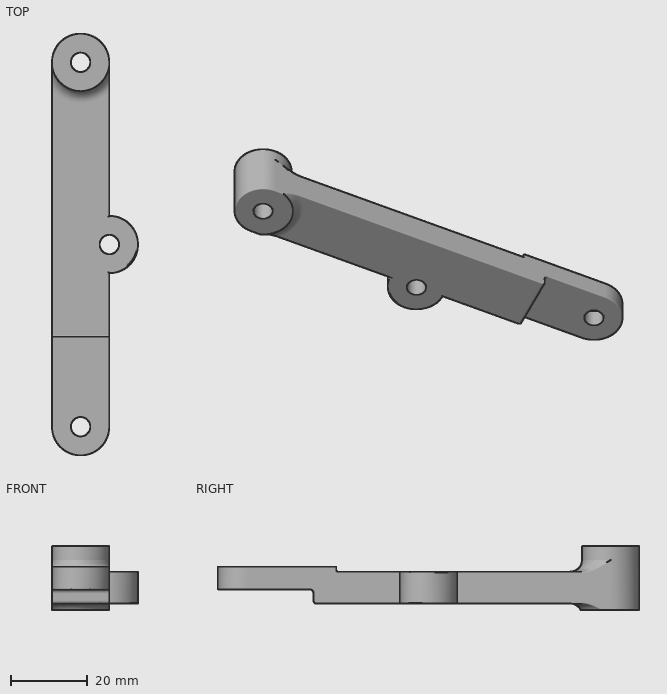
import cadquery as cq
import math

arm_width = 15.0
end_radius = arm_width / 2
arm_length = 95.0
ear_y = -arm_length / 2
ear_x = arm_width / 2
hole_diameter = 5.0

boss_height = 16.8
arm_bottom = 1.7
arm_thickness = 8.4
arm_top = arm_bottom + arm_thickness
tip_thickness = 6.0
tip_rise = 1.3
tip_top = arm_top + tip_rise
tip_bottom = tip_top - tip_thickness

tip_end_y = -arm_length - end_radius
tip_underside_length = 25.0
tip_top_length = 31.0
lower_step_y = tip_end_y + tip_underside_length
upper_step_y = tip_end_y + tip_top_length

boss_fillet = 3.0
lower_step_root_fillet = 1.0
lower_step_nose_fillet = 0.8
edge_fillet = 0.3


def round_end(axis_y, bulge, bottom, top):
    """Half cylinder closing the arm at axis_y; the sign of bulge gives the Y side it rounds."""
    return (
        cq.Workplane("XY", origin=(0, axis_y, bottom))
        .moveTo(end_radius, 0)
        .threePointArc((0, bulge), (-end_radius, 0))
        .close()
        .extrude(top - bottom)
    )


def round_step(profile, y, z, radius):
    """Fillet the one edge of the profile that runs along X at (y, z)."""
    return profile.edges(cq.selectors.NearestToPointSelector((0, y, z))).fillet(radius)


def make_arm():
    """Arm with its offset tip pad: a stepped side profile closed by a round end."""
    profile = (
        cq.Workplane("YZ", origin=(-end_radius, 0, 0))
        .moveTo(0, arm_bottom)
        .lineTo(lower_step_y, arm_bottom)
        .lineTo(lower_step_y, tip_bottom)
        .lineTo(-arm_length, tip_bottom)
        .lineTo(-arm_length, tip_top)
        .lineTo(upper_step_y, tip_top)
        .lineTo(upper_step_y, arm_top)
        .lineTo(0, arm_top)
        .close()
        .extrude(arm_width)
    )
    profile = round_step(profile, lower_step_y, tip_bottom, lower_step_root_fillet)
    profile = round_step(profile, lower_step_y, arm_bottom, lower_step_nose_fillet)
    profile = round_step(profile, upper_step_y, arm_top, edge_fillet)
    profile = round_step(profile, upper_step_y, tip_top, edge_fillet)
    return profile.union(round_end(-arm_length, -end_radius, tip_bottom, tip_top))


def make_boss():
    """Boss flared by concave rounds into the arm top and underside, kept within the arm width."""
    flare_radius = end_radius + boss_fillet
    round_low_z = arm_bottom - boss_fillet
    round_high_z = arm_top + boss_fillet
    foot_radius = flare_radius - math.sqrt(boss_fillet**2 - round_low_z**2)
    diagonal = boss_fillet * math.sqrt(0.5)
    low_angle = (math.asin(-round_low_z / boss_fillet) + math.pi / 2) / 2
    low_mid = (
        flare_radius - boss_fillet * math.cos(low_angle),
        round_low_z + boss_fillet * math.sin(low_angle),
    )
    flare = (
        cq.Workplane("XZ")
        .lineTo(foot_radius, 0)
        .threePointArc(low_mid, (flare_radius, arm_bottom))
        .lineTo(flare_radius, arm_top)
        .threePointArc((flare_radius - diagonal, round_high_z - diagonal), (end_radius, round_high_z))
        .lineTo(0, round_high_z)
        .close()
        .revolve(360, (0, 0, 0), (0, 1, 0))
    )
    arm_side = (
        cq.Workplane("XY", origin=(0, -flare_radius / 2, 0))
        .rect(arm_width, flare_radius)
        .extrude(round_high_z)
    )
    outer_half = round_end(0, end_radius, 0, round_high_z)
    head = (
        cq.Workplane("XY", origin=(0, 0, round_high_z))
        .circle(end_radius)
        .extrude(boss_height - round_high_z)
    )
    return flare.intersect(arm_side).union(outer_half).union(head)


def make_ear():
    """Half-round ear on the +X side of the arm."""
    return (
        cq.Workplane("XY", origin=(ear_x, ear_y, arm_bottom))
        .moveTo(0, -end_radius)
        .threePointArc((end_radius, 0), (0, end_radius))
        .close()
        .extrude(arm_thickness)
    )


def make_holes():
    """Through holes at the boss, the ear and the tip."""
    return (
        cq.Workplane("XY")
        .pushPoints([(0, 0), (ear_x, ear_y), (0, -arm_length)])
        .circle(hole_diameter / 2)
        .extrude(boss_height)
    )


def round_outline(body):
    """Soften the rim of the side walls, the ear and the boss top; tangent edges follow along."""
    side_rim = body.faces("|X").edges("not |Z")
    ear_rim = body.faces(">X").edges("not |Z")
    boss_rim = body.faces(">Z").edges()
    return side_rim.add(ear_rim).add(boss_rim).fillet(edge_fillet)


body = make_arm().union(make_boss()).union(make_ear())
result = round_outline(body).cut(make_holes())